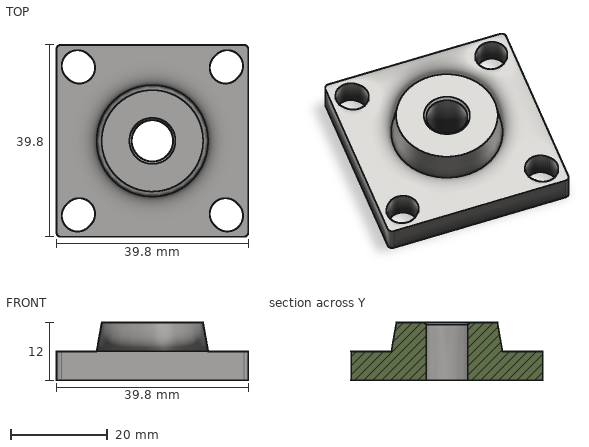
import cadquery as cq
import math

plate_side = 39.8
plate_height = 6.0
corner_radius = 1.0

boss_base_diameter = 23.12
boss_top_diameter = 21.0
boss_height = 6.0
total_height = plate_height + boss_height

bore_diameter = 8.5
bore_chamfer = 0.5

slot_pitch = 30.65
slot_circle_radius = slot_pitch / math.sqrt(2)
slot_width = 6.5
slot_length = 7.0


def make_plate():
    plate = cq.Workplane("XY").box(plate_side, plate_side, plate_height, centered=(True, True, False))
    return plate.edges("|Z").fillet(corner_radius)


def make_boss():
    return (
        cq.Workplane("XY", origin=(0, 0, plate_height))
        .circle(boss_base_diameter / 2)
        .workplane(offset=boss_height)
        .circle(boss_top_diameter / 2)
        .loft(ruled=True)
    )


def make_bore():
    bore_radius = bore_diameter / 2
    mouth_radius = bore_radius + bore_chamfer
    profile = [
        (0, 0),
        (bore_radius, 0),
        (bore_radius, total_height - bore_chamfer),
        (mouth_radius, total_height),
        (0, total_height),
    ]
    return cq.Workplane("XZ").polyline(profile).close().revolve(360, (0, 0, 0), (0, 1, 0))


def make_corner_slots():
    return (
        cq.Workplane("XY")
        .polarArray(slot_circle_radius, 45, 360, 4)
        .slot2D(slot_length, slot_width)
        .extrude(plate_height)
    )


result = make_plate().union(make_boss()).cut(make_bore()).cut(make_corner_slots())